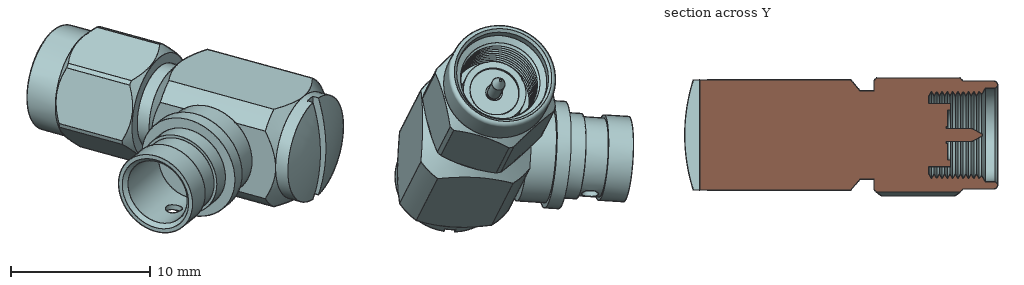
import cadquery as cq
import math


NUT_FLATS = 7.95
NUT_CORNER_R = 4.49
NUT_ROLL = 15.0
COLLAR_R = 3.89
COLLAR_LENGTH = 2.5
NUT_LENGTH = 8.9
NUT_BACK_R = 3.93
LIP_FILLET = 0.33

SOCKET_MOUTH_R = 3.55
SOCKET_R = 3.35
SOCKET_ENTRY_END = 0.9
ENTRY_CREST_R = 2.9
THREAD_CREST_R = 2.79
THREAD_PITCH = 0.38
THREAD_TURNS = 10
FLANK_SLOPE = math.tan(math.radians(60))
THREAD_START = SOCKET_ENTRY_END + (SOCKET_R - ENTRY_CREST_R) / FLANK_SLOPE
SOCKET_DEPTH = THREAD_START + THREAD_TURNS * THREAD_PITCH

CONDUCTOR_R = 2.28
CONDUCTOR_FACE = 3.4
INSULATOR_R = 1.79
INSULATOR_RECESS = 0.2
PIN_R = 0.475
PIN_CLEARANCE_R = 0.6
PIN_CLEARANCE_DEPTH = 0.1
PIN_TIP = 1.1
PIN_TIP_R = 0.08
PIN_CONE_LENGTH = 0.75

BODY_WIDTH = 7.94
BODY_CORNER_R = 4.83
NECK_R = 3.18
BODY_START = 9.89
BODY_SHOULDER = 11.28
BODY_REAR_CONE = 20.0
CAP_R = BODY_WIDTH / 2
CAP_START = BODY_REAR_CONE + BODY_CORNER_R - CAP_R
CAP_RIM = 21.88
TOTAL_LENGTH = 22.5
SLOT_WIDTH = 0.78
SLOT_FLOOR = 21.42

BARREL_X = 15.4
HUB_R = 3.5
HUB_END = 6.02
FLANGE_R = 3.87
FLANGE_END = 7.04
SLEEVE_R = 3.08
GROOVE_R = 2.857
GROOVE_START = 8.27
GROOVE_END = 9.92
BARREL_END = 11.73
BORE_R = 2.46
BORE_FLOOR = FLANGE_END
BORE_CHAMFER = 0.3
VENT_DIAMETER = 1.2
VENT_DISTANCE = (GROOVE_START + GROOVE_END) / 2


def turned(points):
    """Solid of revolution about X from (x, radius) points that start and end on the axis."""
    return cq.Workplane("XY").polyline(points).close().revolve(360, (0, 0, 0), (1, 0, 0))


def cylinder_x(radius, start, end):
    return cq.Workplane("YZ", origin=(start, 0, 0)).circle(radius).extrude(end - start)


def turned_barrel(points):
    """Solid of revolution about the barrel axis from (radius, distance from coupling axis) points."""
    outline = [(radius, -distance) for radius, distance in points]
    profile = cq.Workplane("XY", origin=(BARREL_X, 0, 0)).polyline(outline).close()
    return profile.revolve(360, (0, 0, 0), (0, 1, 0))


def make_nut():
    hex_length = NUT_LENGTH - COLLAR_LENGTH
    hexagon = (
        cq.Workplane("YZ", origin=(COLLAR_LENGTH, 0, 0))
        .polygon(6, NUT_FLATS / math.cos(math.pi / 6))
        .extrude(hex_length)
        .rotate((0, 0, 0), (1, 0, 0), NUT_ROLL)
    )
    envelope = turned([
        (COLLAR_LENGTH, 0),
        (COLLAR_LENGTH, COLLAR_R),
        (COLLAR_LENGTH + NUT_CORNER_R - COLLAR_R, NUT_CORNER_R),
        (NUT_LENGTH - NUT_CORNER_R + NUT_BACK_R, NUT_CORNER_R),
        (NUT_LENGTH, NUT_BACK_R),
        (NUT_LENGTH, 0),
    ])
    collar = cylinder_x(COLLAR_R, 0, COLLAR_LENGTH).faces("<X").edges().fillet(LIP_FILLET)
    return hexagon.intersect(envelope).union(collar)


def make_socket():
    """Space removed from the nut, with sharp ring-shaped thread grooves along its wall."""
    root_r = THREAD_CREST_R + FLANK_SLOPE * THREAD_PITCH / 2
    points = [
        (0, 0),
        (0, SOCKET_MOUTH_R),
        (SOCKET_MOUTH_R - SOCKET_R, SOCKET_R),
        (SOCKET_ENTRY_END, SOCKET_R),
        (THREAD_START, ENTRY_CREST_R),
    ]
    for turn in range(THREAD_TURNS):
        groove_start = THREAD_START + turn * THREAD_PITCH
        points += [
            (groove_start + THREAD_PITCH / 2, root_r),
            (groove_start + THREAD_PITCH, THREAD_CREST_R),
        ]
    points.append((SOCKET_DEPTH, 0))
    return turned(points)


def make_contact():
    """Outer conductor with the recessed insulator and the pointed centre pin."""
    insulator_face = CONDUCTOR_FACE + INSULATOR_RECESS
    clearance_floor = insulator_face + PIN_CLEARANCE_DEPTH
    return turned([
        (PIN_TIP, 0),
        (PIN_TIP, PIN_TIP_R),
        (PIN_TIP + PIN_CONE_LENGTH, PIN_R),
        (clearance_floor, PIN_R),
        (clearance_floor, PIN_CLEARANCE_R),
        (insulator_face, PIN_CLEARANCE_R),
        (insulator_face, INSULATOR_R),
        (CONDUCTOR_FACE, INSULATOR_R),
        (CONDUCTOR_FACE, CONDUCTOR_R),
        (SOCKET_DEPTH, CONDUCTOR_R),
        (SOCKET_DEPTH, 0),
    ])


def make_body():
    """Square body with turned corners and ends, and the round neck behind the nut."""
    block = cq.Workplane("YZ", origin=(BODY_START, 0, 0)).rect(BODY_WIDTH, BODY_WIDTH)
    block = block.extrude(CAP_START - BODY_START)
    envelope = turned([
        (BODY_START, 0),
        (BODY_START, NECK_R),
        (BODY_SHOULDER, BODY_CORNER_R),
        (BODY_REAR_CONE, BODY_CORNER_R),
        (CAP_START, CAP_R),
        (CAP_START, 0),
    ])
    neck = cylinder_x(NECK_R, NUT_LENGTH, BODY_START)
    return block.intersect(envelope).union(neck)


def make_cap():
    """Domed closing cap with a screwdriver slot along Z."""
    dome_height = TOTAL_LENGTH - CAP_RIM
    dome_radius = (CAP_R ** 2 + dome_height ** 2) / (2 * dome_height)
    half_angle = math.asin(CAP_R / dome_radius) / 2
    mid_x = TOTAL_LENGTH - dome_radius * (1 - math.cos(half_angle))
    mid_r = dome_radius * math.sin(half_angle)
    cap = (
        cq.Workplane("XY")
        .moveTo(CAP_START, 0)
        .lineTo(CAP_START, CAP_R)
        .lineTo(CAP_RIM, CAP_R)
        .threePointArc((mid_x, mid_r), (TOTAL_LENGTH, 0))
        .close()
        .revolve(360, (0, 0, 0), (1, 0, 0))
    )
    slot = cq.Workplane("XY").box(
        TOTAL_LENGTH - SLOT_FLOOR, SLOT_WIDTH, 2 * CAP_R, centered=(False, True, True)
    )
    return cap.cut(slot.translate((SLOT_FLOOR, 0, 0)))


def make_barrel():
    body_face = BODY_WIDTH / 2
    return turned_barrel([
        (0, body_face),
        (HUB_R, body_face),
        (HUB_R, HUB_END),
        (FLANGE_R, HUB_END),
        (FLANGE_R, FLANGE_END),
        (SLEEVE_R, FLANGE_END),
        (SLEEVE_R, GROOVE_START),
        (GROOVE_R, GROOVE_START),
        (GROOVE_R, GROOVE_END),
        (SLEEVE_R, GROOVE_END),
        (SLEEVE_R, BARREL_END),
        (0, BARREL_END),
    ])


def make_bore():
    """Chamfered cable bore and the vent hole through the lower wall of the groove."""
    bore = turned_barrel([
        (0, BORE_FLOOR),
        (BORE_R, BORE_FLOOR),
        (BORE_R, BARREL_END - BORE_CHAMFER),
        (BORE_R + BORE_CHAMFER, BARREL_END),
        (0, BARREL_END),
    ])
    vent = cq.Workplane("XY", origin=(BARREL_X, -VENT_DISTANCE, 0))
    vent = vent.circle(VENT_DIAMETER / 2).extrude(-SLEEVE_R)
    return bore.union(vent)


coupling = make_nut().cut(make_socket()).union(make_contact())
housing = make_body().union(make_cap()).union(make_barrel()).cut(make_bore())
result = coupling.union(housing)